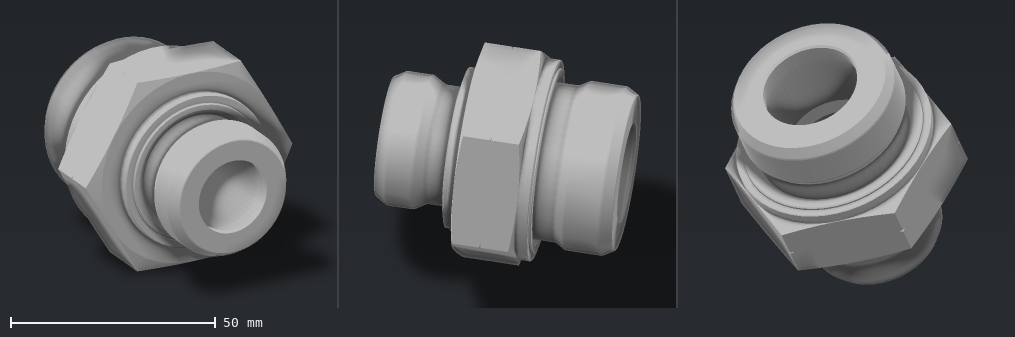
import cadquery as cq
import math

length = 60.0
slope = math.tan(math.radians(30))

across_flats = 50.0
across_corners = across_flats / math.cos(math.radians(30))
hex_start = 23.0
hex_end = 39.0
hex_face_diameter = 49.8
hex_chamfer_angle = 15.0
mark_depth = 0.5
mark_width = 0.55

large_thread = 41.9
large_tip = 38.5
large_neck = 38.8
large_thread_end = 12.0
large_collar = 49.8
large_collar_face = 20.05
large_recess = 46.0
large_seal = 45.8

small_thread = 33.25
small_tip = 29.7
small_neck = 29.5
small_thread_start = 50.4
small_collar = 39.8
small_collar_face = 42.0
small_recess = 36.05
small_seal = 35.7

neck_fillet = 1.5
seal_depth = 1.5
seal_projection = 0.55
seal_chamfer = 0.25
seal_lead_in = 1.55
collar_chamfer = 0.2
crest_chamfer = 0.25
tip_chamfer = 0.2

bore = 19.0
counterbore = 24.0
counterbore_depth = 21.0
bore_lip = 24.95
bore_cone_angle = 60.0


def revolve_about_x(points):
    """Turn an outline of (x, radius) points about the X axis."""
    return cq.Workplane("XY").polyline(points).close().revolve(360, (0, 0, 0), (1, 0, 0))


def tube(start, end, outer, inner):
    """Ring along X from start to end, with the given diameters."""
    return revolve_about_x([(start, inner / 2), (start, outer / 2), (end, outer / 2), (end, inner / 2)])


def make_end(tip_x, thread_x, inner_x, tip, thread, neck):
    """Threaded end from the tip face inwards, tapering to a filleted neck that ends at inner_x."""
    inward = math.copysign(1, inner_x - tip_x)
    crest_x = tip_x + inward * (thread - tip) / 2 / slope
    neck_x = thread_x + inward * (thread - neck) / 2 / slope
    tangent_length = neck_fillet * math.tan(math.radians(15))
    cone_point = (
        neck_x - inward * tangent_length * math.cos(math.radians(30)),
        neck / 2 + tangent_length * math.sin(math.radians(30)),
    )
    fillet_middle = (
        neck_x + inward * (tangent_length - neck_fillet * math.sin(math.radians(15))),
        neck / 2 + neck_fillet * (1 - math.cos(math.radians(15))),
    )
    turned = (
        cq.Workplane("XY")
        .moveTo(tip_x, 0)
        .lineTo(tip_x, tip / 2)
        .lineTo(crest_x, thread / 2)
        .lineTo(thread_x, thread / 2)
        .lineTo(*cone_point)
        .threePointArc(fillet_middle, (neck_x + inward * tangent_length, neck / 2))
        .lineTo(inner_x, neck / 2)
        .lineTo(inner_x, 0)
        .close()
        .revolve(360, (0, 0, 0), (1, 0, 0))
    )
    eased = turned.edges(cq.selectors.RadiusNthSelector(-1)).chamfer(crest_chamfer)
    tip_face = "<X" if inward > 0 else ">X"
    return eased.faces(tip_face).edges().chamfer(tip_chamfer)


def make_hexagon():
    """Hexagon with corners on the Y axis, chamfered faces and a V groove across its corners."""
    prism = (
        cq.Workplane("YZ", origin=(hex_start, 0, 0))
        .polygon(6, across_corners)
        .extrude(hex_end - hex_start)
    )
    face_radius = hex_face_diameter / 2
    rim_radius = across_corners / 2 + 0.6
    chamfer_length = (rim_radius - face_radius) * math.tan(math.radians(hex_chamfer_angle))
    envelope = revolve_about_x([
        (hex_start, 0),
        (hex_start, face_radius),
        (hex_start + chamfer_length, rim_radius),
        (hex_end - chamfer_length, rim_radius),
        (hex_end, face_radius),
        (hex_end, 0),
    ])
    middle = (hex_start + hex_end) / 2
    corner_radius = across_corners / 2
    groove = revolve_about_x([
        (middle, corner_radius - mark_depth),
        (middle - mark_width / 2, corner_radius),
        (middle + mark_width / 2, corner_radius),
    ])
    return prism.intersect(envelope).cut(groove)


def make_collar(face, inner_x, diameter):
    """Round collar from its face inwards, with a small chamfer on the face rim."""
    inward = math.copysign(1, inner_x - face)
    return revolve_about_x([
        (face, 0),
        (face, diameter / 2 - collar_chamfer),
        (face + inward * collar_chamfer, diameter / 2),
        (inner_x, diameter / 2),
        (inner_x, 0),
    ])


def make_bore():
    """Through bore with a lipped counterbore that narrows in a cone."""
    lip_depth = (bore_lip - counterbore) / 2
    cone_length = (counterbore - bore) / 2 / math.tan(math.radians(bore_cone_angle))
    return revolve_about_x([
        (0, 0),
        (0, bore_lip / 2),
        (lip_depth, counterbore / 2),
        (counterbore_depth, counterbore / 2),
        (counterbore_depth + cone_length, bore / 2),
        (length, bore / 2),
        (length, 0),
    ])


def make_housing():
    """Double-ended fitting with a seal recess in each collar."""
    middle = (hex_start + hex_end) / 2
    large_end = make_end(0, large_thread_end, middle, large_tip, large_thread, large_neck)
    small_end = make_end(length, small_thread_start, middle, small_tip, small_thread, small_neck)
    large_collar_ring = make_collar(large_collar_face, middle, large_collar)
    small_collar_ring = make_collar(small_collar_face, middle, small_collar)
    large_groove = tube(large_collar_face, large_collar_face + seal_depth, large_recess, large_neck)
    small_groove = tube(small_collar_face - seal_depth, small_collar_face, small_recess, small_neck)
    return (
        make_hexagon()
        .union(large_collar_ring)
        .union(small_collar_ring)
        .union(large_end)
        .union(small_end)
        .cut(large_groove)
        .cut(small_groove)
        .cut(make_bore())
    )


def make_seal(collar_face, outward, outer, inner):
    """Seal ring seated in its recess, standing proud of the collar chamfered on both rims."""
    seat = collar_face - outward * seal_depth
    face = collar_face + outward * seal_projection
    return revolve_about_x([
        (seat, inner / 2),
        (seat, outer / 2),
        (face - outward * seal_chamfer, outer / 2),
        (face, outer / 2 - seal_chamfer),
        (face, inner / 2 + seal_lead_in),
        (face - outward * seal_lead_in * slope, inner / 2),
    ])


housing = make_housing()
seals = [
    make_seal(face, outward, outer, inner)
    for face, outward, outer, inner in (
        (large_collar_face, -1, large_seal, large_neck),
        (small_collar_face, 1, small_seal, small_neck),
    )
]

result = cq.Compound.makeCompound([housing.val(), *[seal.val() for seal in seals]])